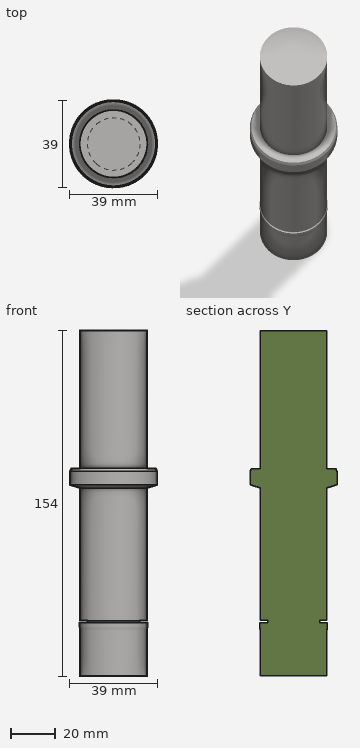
import cadquery as cq

total_length = 154.0
shaft_radius = 30.0 / 2

collar_radius = 39.0 / 2
collar_top = 92.5
collar_bevel_width = 0.6
collar_bevel_height = 1.4
collar_rim_bottom = 85.2
collar_cone_bottom = 83.8

groove_radius = 23.4 / 2
groove_top = 24.8
groove_bottom = 23.9
ring_radius = 30.3 / 2
ring_bottom = 22.0
taper_bottom = 20.6

half_section = [
    (0, 0),
    (shaft_radius, 0),
    (shaft_radius, taper_bottom),
    (ring_radius, ring_bottom),
    (ring_radius, groove_bottom),
    (groove_radius, groove_bottom),
    (groove_radius, groove_top),
    (shaft_radius, groove_top),
    (shaft_radius, collar_cone_bottom),
    (collar_radius, collar_rim_bottom),
    (collar_radius, collar_top - collar_bevel_height),
    (collar_radius - collar_bevel_width, collar_top),
    (shaft_radius, collar_top),
    (shaft_radius, total_length),
    (0, total_length),
]

result = cq.Workplane("XZ").polyline(half_section).close().revolve(360, (0, 0), (0, 1))